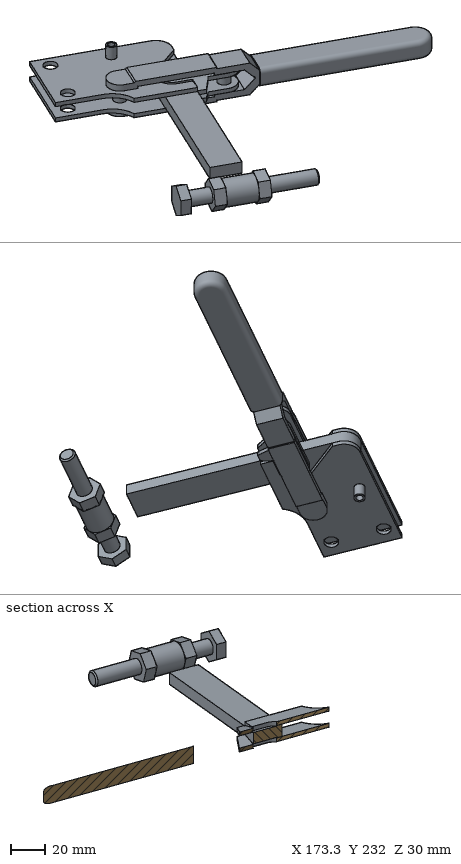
import cadquery as cq
import math


arm_height = 19.7
arm_thickness = 7.7
arm_left = -40.0
arm_right = 100.2
half_arm = arm_height / 2
arm_pivot_x = arm_left + half_arm

plate_thickness = 2.8
plate_inner = arm_thickness / 2
plate_outer = plate_inner + plate_thickness
plate_right = 17.9
foot_right = 8.1
foot_bottom = -73.8
waist_top = -29.0
waist_radius = 17.6
notch_radius = 10.2
notch_angle = 42
mount_hole_diameter = 8.5
mount_hole_y = -63.5
mount_hole_pitch = 32.2
stop_pin_radius = 3.2
stop_pin_length = 30.0
stop_pin_y = -27.1
stop_pin_bore_radius = 2.0
stop_pin_bore_depth = 4.6
pivot_radius = 4.2
pivot_offset = 31.8

strap_radius = 8.4
tab_bend_x = 8.8
tab_root_top = 19.3
tab_tip_top = 15.0
tab_drop = 2.3

handle_width = 16.2
fork_thickness = 4.2
fork_outer = plate_outer + fork_thickness
raised_half_length = 24.8
raised_height = 1.0
raised_end_slope = 1.0
recess_half_length = 23.5
recess_depth = 1.5
neck_half_height = 4.9
grip_face = 50.8
crotch_y = 48.3

grip_top = 158.2
grip_width = 19.7
grip_height = 12.3
grip_fillet = 3.0

spindle_x = 123.5
rod_radius = 4.9
rod_top = 48.3
rod_chamfer = 1.0
nut_height = 7.5
hexagon_radius = 10.0
nut_turn = -12
head_turn = 30
sleeve_radius = 8.5
head_top = -31.5
head_bottom = -38.0


def slab(outline, z_bottom, thickness):
    """Extrude a closed XY outline upward from z_bottom."""
    return outline.extrude(thickness).translate((0, 0, z_bottom))


def mirrored_pair(body):
    """A body above the mid-plane together with its copy below it."""
    return body.union(body.mirror("XY"))


def cross_pin(x, y, radius, length):
    """Cylinder along Z, centred on the mid-plane."""
    return cq.Workplane("XY", origin=(x, y, -length / 2)).circle(radius).extrude(length)


def make_base():
    slope = math.radians(notch_angle)
    touch_x = -notch_radius * math.sin(slope)
    touch_y = -notch_radius * math.cos(slope)
    slope_top_x = touch_x - (half_arm - touch_y) / math.tan(slope)
    waist_bottom = waist_top - math.sqrt(
        waist_radius**2 - (waist_radius - plate_right + foot_right) ** 2
    )
    corner_mid = half_arm * math.sqrt(0.5)
    outline = (
        cq.Workplane("XY")
        .moveTo(arm_left, foot_bottom)
        .lineTo(foot_right, foot_bottom)
        .lineTo(foot_right, waist_bottom)
        .radiusArc((plate_right, waist_top), waist_radius)
        .lineTo(plate_right, half_arm)
        .lineTo(notch_radius, half_arm)
        .lineTo(notch_radius, 0)
        .threePointArc((0, -notch_radius), (touch_x, touch_y))
        .lineTo(slope_top_x, half_arm)
        .lineTo(arm_pivot_x, half_arm)
        .threePointArc((arm_pivot_x - corner_mid, corner_mid), (arm_left, 0))
        .close()
    )
    mount_holes = (
        cq.Workplane("XY")
        .pushPoints([(0, mount_hole_y), (-mount_hole_pitch, mount_hole_y)])
        .circle(mount_hole_diameter / 2)
        .extrude(plate_outer)
    )
    plates = mirrored_pair(slab(outline, plate_inner, plate_thickness).cut(mount_holes))
    handle_pivot = cross_pin(0, -pivot_offset, pivot_radius, 2 * plate_inner)
    stop_pin = cross_pin(arm_pivot_x, stop_pin_y, stop_pin_radius, stop_pin_length)
    bore = (
        cq.Workplane("XY", origin=(arm_pivot_x, stop_pin_y, stop_pin_length / 2))
        .circle(stop_pin_bore_radius)
        .extrude(-stop_pin_bore_depth)
    )
    return plates.union(handle_pivot).union(stop_pin).cut(mirrored_pair(bore))


def make_arm():
    outline = (
        cq.Workplane("XY")
        .moveTo(arm_pivot_x, -half_arm)
        .lineTo(arm_right, -half_arm)
        .lineTo(arm_right, half_arm)
        .lineTo(arm_pivot_x, half_arm)
        .threePointArc((arm_left, 0), (arm_pivot_x, -half_arm))
        .close()
    )
    return slab(outline, -arm_thickness / 2, arm_thickness)


def make_link():
    strap_outline = (
        cq.Workplane("XY")
        .center(0, pivot_offset / 2)
        .slot2D(pivot_offset + 2 * strap_radius, 2 * strap_radius, 90)
    )
    strap = slab(strap_outline, plate_inner, plate_thickness)
    tab_profile = (
        cq.Workplane("XZ")
        .moveTo(0, plate_inner)
        .lineTo(tab_bend_x, plate_inner)
        .lineTo(plate_right, plate_inner - tab_drop)
        .lineTo(plate_right, plate_outer - tab_drop)
        .lineTo(tab_bend_x, plate_outer)
        .lineTo(0, plate_outer)
        .close()
        .extrude(-pivot_offset)
    )
    tab_outline = (
        cq.Workplane("XY")
        .moveTo(0, half_arm)
        .lineTo(plate_right, half_arm)
        .lineTo(plate_right, tab_tip_top)
        .lineTo(tab_bend_x, tab_root_top)
        .lineTo(0, tab_root_top)
        .close()
        .extrude(plate_outer)
    )
    tab = tab_profile.intersect(tab_outline)
    pivot = cross_pin(0, pivot_offset, pivot_radius, 2 * plate_inner)
    return mirrored_pair(strap.union(tab)).union(pivot)


def make_handle():
    raised_outer = fork_outer + raised_height
    recess_face = plate_outer + recess_depth
    outer_bend_y = grip_face - (fork_outer - neck_half_height)
    fork_end = -pivot_offset - handle_width / 2
    upper_half = (
        cq.Workplane("YZ")
        .moveTo(grip_face, 0)
        .lineTo(grip_face, neck_half_height)
        .lineTo(outer_bend_y, fork_outer)
        .lineTo(raised_half_length, fork_outer)
        .lineTo(raised_half_length, raised_outer)
        .lineTo(-raised_half_length, raised_outer)
        .lineTo(-raised_half_length - raised_end_slope, fork_outer)
        .lineTo(fork_end, fork_outer)
        .lineTo(fork_end, plate_outer)
        .lineTo(-recess_half_length, plate_outer)
        .lineTo(-recess_half_length, recess_face)
        .lineTo(recess_half_length, recess_face)
        .lineTo(recess_half_length, plate_outer)
        .lineTo(crotch_y - plate_outer, plate_outer)
        .lineTo(crotch_y, 0)
        .close()
        .extrude(handle_width / 2, both=True)
    )
    half_width = handle_width / 2
    plan = (
        cq.Workplane("XY")
        .moveTo(half_width, grip_face)
        .lineTo(half_width, -pivot_offset)
        .threePointArc((0, fork_end), (-half_width, -pivot_offset))
        .lineTo(-half_width, grip_face)
        .close()
        .extrude(raised_outer)
    )
    return mirrored_pair(upper_half.intersect(plan))


def make_grip():
    end_radius = grip_width / 2
    outline = (
        cq.Workplane("XY")
        .moveTo(-end_radius, grip_face)
        .lineTo(end_radius, grip_face)
        .lineTo(end_radius, grip_top - end_radius)
        .threePointArc((0, grip_top), (-end_radius, grip_top - end_radius))
        .close()
    )
    block = slab(outline, -grip_height / 2, grip_height)
    rim = block.faces("|Z").edges("not(<Y)")
    return rim.fillet(grip_fillet)


def make_spindle():
    def level(y, turn=0):
        """Plane across the spindle axis; extruding from it runs toward -Y."""
        return cq.Workplane("XZ", origin=(spindle_x, y, 0)).transformed(rotate=(0, 0, turn))

    rod = level(rod_top).circle(rod_radius).extrude(rod_top - head_top)
    rod = rod.faces(">Y").chamfer(rod_chamfer)
    sleeve = level(half_arm).circle(sleeve_radius).extrude(arm_height)
    spindle = rod.union(sleeve)
    for nut_top in (half_arm + nut_height, -half_arm):
        nut = level(nut_top, nut_turn).polygon(6, 2 * hexagon_radius).extrude(nut_height)
        spindle = spindle.union(nut)
    head = level(head_top, head_turn).polygon(6, 2 * hexagon_radius).extrude(head_top - head_bottom)
    return spindle.union(head)


base = make_base()
arm = make_arm()
link = make_link()
handle = make_handle()
grip = make_grip()
spindle = make_spindle()

bodies = [base, arm, link, handle, grip, spindle]
result = cq.Compound.makeCompound([body.solids().val() for body in bodies])